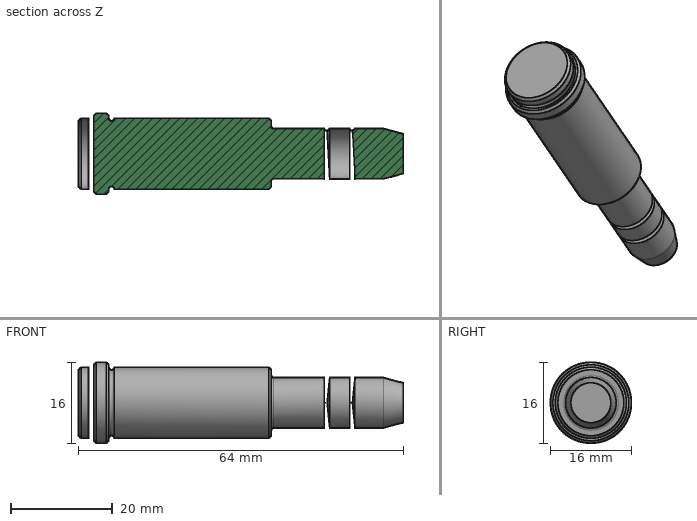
import cadquery as cq

length = 64.0
body_diameter = 14.0
collar_diameter = 16.0
stem_diameter = 10.0
edge_chamfer = 0.5

collar_start = 3.0
collar_end = 6.0
shoulder_x = 38.0
shoulder_fillet = 0.4

groove_width = 1.0
stem_groove_start = 48.45
stem_groove_pitch = 5.0
stem_groove_count = 2

tip_length = 4.0
tip_diameter = 7.9


def cylinder(start, end, diameter):
    """Solid cylinder along X between two axial positions."""
    return cq.Workplane("YZ", origin=(start, 0, 0)).circle(diameter / 2).extrude(end - start)


def round_groove(start, diameter):
    """Ring that cuts a semicircular groove into a cylinder of the given diameter."""
    return (
        cq.Workplane("XY")
        .center(start + groove_width / 2, diameter / 2)
        .circle(groove_width / 2)
        .revolve(360, (0, -diameter / 2), (1, -diameter / 2))
    )


body = cylinder(0, shoulder_x, body_diameter).edges().chamfer(edge_chamfer)

for start in (collar_start - groove_width, collar_end):
    body = body.cut(round_groove(start, body_diameter))

collar = cylinder(collar_start, collar_end, collar_diameter).edges().chamfer(edge_chamfer)

stem_radius = stem_diameter / 2
stem = (
    cq.Workplane("XY")
    .moveTo(shoulder_x, 0)
    .lineTo(shoulder_x, stem_radius + shoulder_fillet)
    .radiusArc((shoulder_x + shoulder_fillet, stem_radius), -shoulder_fillet)
    .lineTo(length - tip_length, stem_radius)
    .lineTo(length, tip_diameter / 2)
    .lineTo(length, 0)
    .close()
    .revolve(360, (0, 0), (1, 0))
)

for index in range(stem_groove_count):
    start = stem_groove_start + index * stem_groove_pitch
    stem = stem.cut(round_groove(start, stem_diameter))

result = body.union(collar).union(stem)